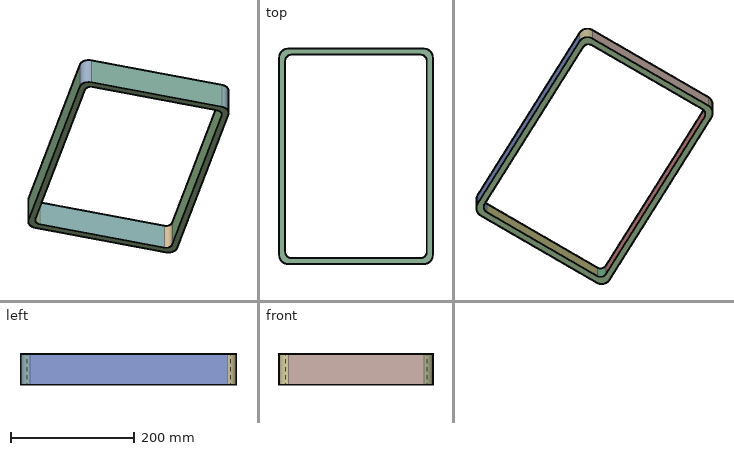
import cadquery as cq

length = 350.0
width = 250.0
height = 50.0
wall = 10.0
outer_corner_radius = 15.0
inner_corner_radius = 10.0


def rounded_block(size_x, size_y, corner_radius):
    """Block of the frame's height with rounded vertical edges."""
    block = cq.Workplane("XY").box(size_x, size_y, height)
    return block.edges("|Z").fillet(corner_radius)


outer_body = rounded_block(width, length, outer_corner_radius)
opening = rounded_block(width - 2 * wall, length - 2 * wall, inner_corner_radius)

result = outer_body.cut(opening)